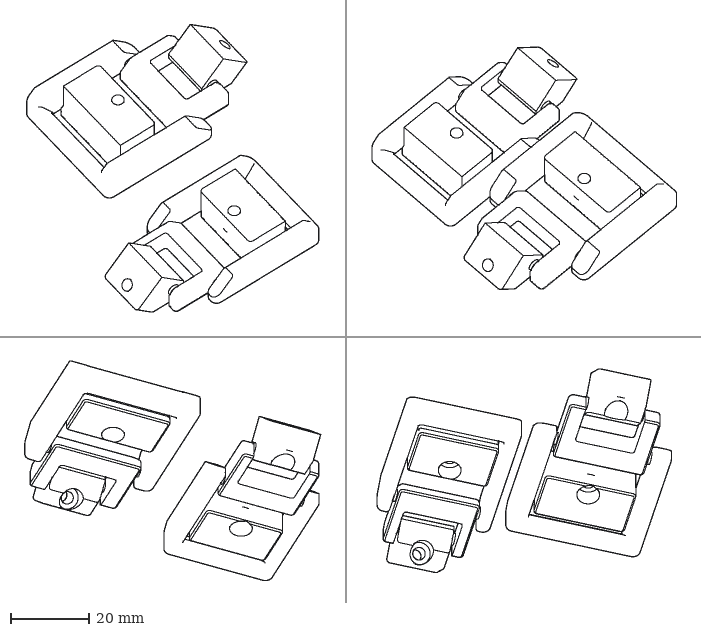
import cadquery as cq
import math


LARGE_FRAME_WIDTH = 35.6
LARGE_ARM = 5.0
SMALL_FRAME_WIDTH = 30.0
SMALL_ARM = 3.6

SIDE_GAP = 6.0
LARGE_LIFT = 12.5
FRONT_DISTANCE = 41.44

CLEARANCE = 0.8
PIN_DIAMETER = 3.2
PIN_DEPTH = 2.0
SCREW_DIAMETER = 3.2
HEAD_DIAMETER = 5.8
SCREW_EDGE = 3.05
SCREW_GRIP = 6.1

FRAME_LENGTH = 34.37
FRAME_HEIGHT = 8.5
FRONT_CHAMFER = 3.4
END_CHAMFER = 5.9
BAR_DEPTH = 4.75
BAR_RIDGE_Y = 1.75
BAR_SLOPE = 55.0
BAR_CORNER_RADIUS = 1.0
FRAME_OUTER_RADIUS = 2.0
ARM_INNER_RADIUS = 1.0
FRAME_TOP_RADIUS = 0.5
FRAME_BOTTOM_RADIUS = 0.7
LINK_PIN_END = 4.1
LINK_PIN_Z = 2.75
LINK_PIN_Y = FRAME_LENGTH - LINK_PIN_END

LINK_LENGTH = 17.6
LINK_HEIGHT = 6.5
LINK_BAR = 6.6
LINK_BACK_CHAMFER = 3.6
LINK_END_CHAMFER = 1.8
LINK_RADIUS = 1.0
SLOT_RADIUS = 0.8
BASE_CHAMFER = 0.45
LINK_BACK = LINK_PIN_Y - LINK_PIN_END
LINK_END = LINK_BACK + LINK_LENGTH
CLAMP_PIN_Y = LINK_END - 2.05
CLAMP_PIN_Z = 4.85

CLAMP_WIDTH = 14.0
CLAMP_LENGTH = 11.3
CLAMP_HEIGHT = 11.0
CLAMP_TOP_Z = 12.88
CLAMP_TIP_Y = 53.4
CLAMP_BACK_Y = 38.4
CLAMP_RADIUS = 1.0
BASE_RADIUS = 0.7
BLOCK_BACK_Y = 19.87
BLOCK_LENGTH = 11.45
LEDGE_DEPTH = 1.3
LEDGE_Z = 2.5
LEDGE_RADIUS = 0.5


def side_prism(points, width):
    """Prism across the buckle from a (y, z) outline, centred on x = 0."""
    return cq.Workplane("YZ").polyline(points).close().extrude(width / 2, both=True)


def cylinder_along_x(diameter, x_start, x_end, y, z):
    """Round bar parallel to X."""
    length = abs(x_end - x_start)
    middle = (x_start + x_end) / 2
    return cq.Workplane("YZ", origin=(middle, y, z)).circle(diameter / 2).extrude(length / 2, both=True)


def pin_pair(inner_width, part_width, y, z):
    """Two pins that start at the arms' inner faces and reach into the part between the arms."""
    start = inner_width / 2
    end = part_width / 2 - PIN_DEPTH
    return [cylinder_along_x(PIN_DIAMETER, side * start, side * end, y, z) for side in (-1, 1)]


def make_frame(width, arm):
    """U-shaped frame with a ridged front bar and two hinge pins between its arms."""
    inner = width - 2 * arm
    front_z = FRAME_HEIGHT - FRONT_CHAMFER
    ridge_z = front_z + BAR_RIDGE_Y
    lip_z = ridge_z - (BAR_DEPTH - BAR_RIDGE_Y) * math.tan(math.radians(BAR_SLOPE))
    top = 2 * FRAME_HEIGHT
    body = side_prism(
        [
            (0, 0),
            (0, front_z),
            (FRONT_CHAMFER, FRAME_HEIGHT),
            (FRAME_LENGTH, FRAME_HEIGHT),
            (FRAME_LENGTH, 0),
        ],
        width,
    )
    body = body.edges("|Z").fillet(FRAME_OUTER_RADIUS)

    window = side_prism(
        [
            (BAR_DEPTH, 0),
            (BAR_DEPTH, lip_z),
            (BAR_RIDGE_Y, ridge_z),
            (BAR_RIDGE_Y, top),
            (FRAME_LENGTH, top),
            (FRAME_LENGTH, 0),
        ],
        inner,
    )
    for side in (-1, 1):
        bar_corner = (side * inner / 2, BAR_DEPTH, lip_z / 2)
        window = window.edges(cq.NearestToPointSelector(bar_corner)).fillet(BAR_CORNER_RADIUS)
    body = body.cut(window)

    for side in (-1, 1):
        end_corner = (side * inner / 2, FRAME_LENGTH, FRAME_HEIGHT / 2)
        body = body.edges(cq.NearestToPointSelector(end_corner)).fillet(ARM_INNER_RADIUS)
    body = body.faces("<Z").edges().fillet(FRAME_BOTTOM_RADIUS)
    body = body.faces(">Z or |(0,-1,1)").edges().fillet(FRAME_TOP_RADIUS)

    end_slope = side_prism(
        [
            (FRAME_LENGTH - END_CHAMFER, FRAME_HEIGHT),
            (FRAME_LENGTH, FRAME_HEIGHT),
            (FRAME_LENGTH, FRAME_HEIGHT - END_CHAMFER),
        ],
        width,
    )
    body = body.cut(end_slope)
    for pin in pin_pair(inner, inner - 2 * CLEARANCE, LINK_PIN_Y, LINK_PIN_Z):
        body = body.union(pin)
    return body


def make_link(width):
    """U-shaped link that turns on the frame's pins and carries the end clamp's pins."""
    slot_width = CLAMP_WIDTH + 2 * CLEARANCE
    profile = [
        (LINK_BACK, 0),
        (LINK_BACK, LINK_HEIGHT - LINK_BACK_CHAMFER),
        (LINK_BACK + LINK_BACK_CHAMFER, LINK_HEIGHT),
        (LINK_END - LINK_END_CHAMFER, LINK_HEIGHT),
        (LINK_END, LINK_HEIGHT - LINK_END_CHAMFER),
        (LINK_END, 0),
    ]
    body = side_prism(profile, width)
    body = body.edges("|X and (not <Z)").fillet(LINK_RADIUS)
    body = body.faces("<X or >X").edges("not <Z").fillet(LINK_RADIUS)
    body = body.faces("<Z").edges().chamfer(BASE_CHAMFER)

    slot_start = LINK_BACK + LINK_BAR
    slot = (
        cq.Workplane("XY")
        .rect(slot_width, 2 * (LINK_LENGTH - LINK_BAR))
        .extrude(LINK_HEIGHT)
        .edges("|Z")
        .fillet(SLOT_RADIUS)
        .translate((0, slot_start + LINK_LENGTH - LINK_BAR, 0))
    )
    body = body.cut(slot)
    for pin in pin_pair(width, width, LINK_PIN_Y, LINK_PIN_Z):
        body = body.cut(pin)
    for pin in pin_pair(slot_width, CLAMP_WIDTH, CLAMP_PIN_Y, CLAMP_PIN_Z):
        body = body.union(pin)
    return body


def screw_hole():
    """Screw hole with a head pocket, running down from the origin."""
    shank = cq.Workplane("XY").circle(SCREW_DIAMETER / 2).extrude(-SCREW_GRIP)
    head = (
        cq.Workplane("XY", origin=(0, 0, -SCREW_GRIP))
        .circle(HEAD_DIAMETER / 2)
        .extrude(SCREW_GRIP - 2 * CLAMP_HEIGHT)
    )
    return shank.union(head)


def make_end_clamp():
    """Clamp tipped 45 degrees, with its base cut flat and its inner corner cut off upright."""
    body = (
        cq.Workplane("XY")
        .box(CLAMP_WIDTH, CLAMP_LENGTH, CLAMP_HEIGHT, centered=(True, False, False))
        .translate((0, -CLAMP_LENGTH, -CLAMP_HEIGHT))
    )
    body = body.edges("|Z and >Y").fillet(CLAMP_RADIUS)
    body = body.cut(screw_hole().translate((0, -SCREW_EDGE, 0)))
    tip_z = CLAMP_TOP_Z - CLAMP_LENGTH * math.sin(math.radians(45))
    body = body.rotate((0, 0, 0), (1, 0, 0), -45).translate((0, CLAMP_TIP_Y, tip_z))
    keep = (
        cq.Workplane("XY")
        .box(CLAMP_WIDTH, CLAMP_TIP_Y - CLAMP_BACK_Y, CLAMP_TOP_Z, centered=(True, False, False))
        .translate((0, CLAMP_BACK_Y, 0))
    )
    body = body.intersect(keep)
    body = body.faces("<Z").edges("|Y").fillet(BASE_RADIUS)
    slot_width = CLAMP_WIDTH + 2 * CLEARANCE
    for pin in pin_pair(slot_width, CLAMP_WIDTH, CLAMP_PIN_Y, CLAMP_PIN_Z):
        body = body.cut(pin)
    return body


def make_clamp_block(width):
    """Loose block inside the frame, with a low rounded ledge facing the frame's bar."""
    front_y = BLOCK_BACK_Y - BLOCK_LENGTH
    ledge_y = front_y - LEDGE_DEPTH
    plan = (
        cq.Workplane("XY")
        .box(width, BLOCK_BACK_Y - ledge_y, CLAMP_HEIGHT, centered=(True, False, False))
        .translate((0, ledge_y, 0))
        .edges("|Z")
        .fillet(CLAMP_RADIUS)
    )
    profile = (
        cq.Workplane("YZ")
        .moveTo(BLOCK_BACK_Y, 0)
        .lineTo(BLOCK_BACK_Y, CLAMP_HEIGHT)
        .lineTo(front_y, CLAMP_HEIGHT)
        .lineTo(front_y, LEDGE_Z + LEDGE_RADIUS)
        .radiusArc((front_y - LEDGE_RADIUS, LEDGE_Z), LEDGE_RADIUS)
        .lineTo(ledge_y + LEDGE_RADIUS, LEDGE_Z)
        .radiusArc((ledge_y, LEDGE_Z - LEDGE_RADIUS), -LEDGE_RADIUS)
        .lineTo(ledge_y, 0)
        .close()
        .extrude(width / 2, both=True)
    )
    body = plan.intersect(profile)
    body = body.faces("<Z").edges().chamfer(BASE_CHAMFER)
    return body.cut(screw_hole().translate((0, BLOCK_BACK_Y - SCREW_EDGE, CLAMP_HEIGHT)))


def make_buckle(frame_width, arm):
    """Frame, link, end clamp and clamp block of one buckle, each a separate body."""
    inside_width = frame_width - 2 * arm - 2 * CLEARANCE
    return [
        make_frame(frame_width, arm),
        make_link(inside_width),
        make_end_clamp(),
        make_clamp_block(inside_width),
    ]


large_buckle = [
    body.translate((0, 0, LARGE_LIFT)) for body in make_buckle(LARGE_FRAME_WIDTH, LARGE_ARM)
]
small_x = LARGE_FRAME_WIDTH / 2 + SIDE_GAP + SMALL_FRAME_WIDTH / 2
small_buckle = [
    body.rotate((0, 0, 0), (0, 0, 1), 180).translate((small_x, FRONT_DISTANCE, 0))
    for body in make_buckle(SMALL_FRAME_WIDTH, SMALL_ARM)
]
result = cq.Compound.makeCompound([body.val() for body in large_buckle + small_buckle])